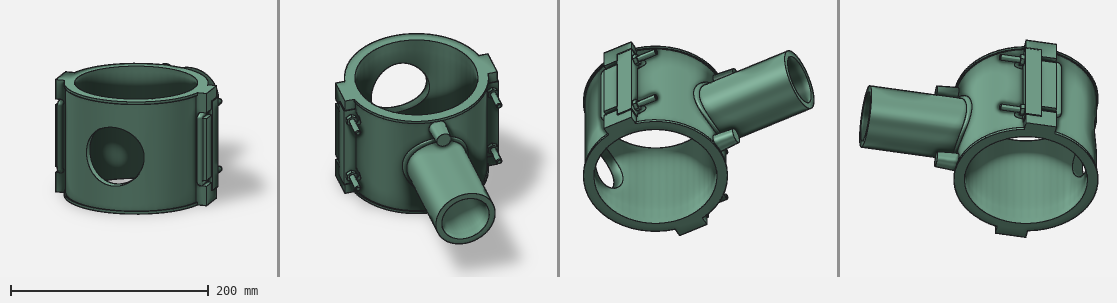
import cadquery as cq
import math


height = 118.0
half_height = height / 2
body_radius = 71.5
rim_radius = 73.0
rim_height = 2.9
ring_bore_radius = 62.2
front_opening_diameter = 61.8

overall_length = 238.5
pipe_end_y = overall_length - rim_radius
pipe_diameter = 63.0
pipe_bore_diameter = 50.3
collar_diameter = 69.5
collar_outer_radius = 74.5
collar_edge_fillet = 2.0

boss_z = 47.0
boss_end_y = 92.7
boss_end_diameter = 15.3
boss_root_diameter = 18.1
boss_root_y = body_radius

overall_width = 164.0
lug_half_width = 80.8
lug_depth = 15.7
plate_half_width = overall_width / 2
plate_back_y = 16.7
plate_height = 94.0

bolt_x = 74.9
bolt_z = 35.5
bolt_diameter = 6.0
bolt_radius = bolt_diameter / 2
bolt_tip_y = 41.7
bolt_tip_chamfer = 1.0
bar_clearance = 0.05
bend_radius = bolt_radius + bar_clearance
bolt_bar_y = -lug_depth - bend_radius
nut_across_flats = 10.0
nut_height = 4.0
relief_base_radius = 9.0
relief_end_radius = 7.5
relief_end_y = 28.5


def cylinder_along_y(diameter, y_start, y_end, x=0.0, z=0.0):
    """Solid cylinder parallel to Y, between two Y positions."""
    length = y_end - y_start
    return cq.Workplane(
        cq.Solid.makeCylinder(diameter / 2, length, cq.Vector(x, y_start, z), cq.Vector(0, 1, 0))
    )


def cone_along_y(start_radius, end_radius, y_start, y_end, x=0.0, z=0.0):
    """Solid truncated cone parallel to Y, between two Y positions."""
    start = cq.Vector(x, y_start, z)
    return cq.Workplane(
        cq.Solid.makeCone(start_radius, end_radius, y_end - y_start, start, cq.Vector(0, 1, 0))
    )


def cylinder_along_z(radius, length, z_center=0.0):
    """Solid cylinder about the Z axis."""
    return cq.Workplane("XY").workplane(offset=z_center - length / 2).circle(radius).extrude(length)


def box_between(x_range, y_range, z_half):
    """Box spanning two X and two Y positions, centred on Z = 0."""
    x_size = x_range[1] - x_range[0]
    y_size = y_range[1] - y_range[0]
    box = cq.Workplane("XY").box(x_size, y_size, 2 * z_half, centered=(False, False, True))
    return box.translate((x_range[0], y_range[0], 0))


def make_ring():
    """Ring body with a raised rim at each end, still without its bore."""
    ring = cylinder_along_z(body_radius, height)
    for side in (-1, 1):
        ring = ring.union(cylinder_along_z(rim_radius, rim_height, side * (half_height - rim_height / 2)))
    return ring


def make_collar():
    """Saddle-shaped collar around the pipe root, with a rounded outer edge."""
    collar = cylinder_along_y(collar_diameter, 0, pipe_end_y)
    collar = collar.intersect(cylinder_along_z(collar_outer_radius, height))
    return collar.edges(">Y").fillet(collar_edge_fillet)


def make_boss(z):
    """Conical boss that narrows away from the ring."""
    taper = (boss_root_diameter - boss_end_diameter) / 2 / (boss_end_y - boss_root_y)
    start_y = (ring_bore_radius + body_radius) / 2
    start_radius = boss_root_diameter / 2 + taper * (boss_root_y - start_y)
    return cone_along_y(start_radius, boss_end_diameter / 2, start_y, boss_end_y, z=z)


def make_nut(z):
    """Hexagonal nut on the plate, with its corners pointing along Z."""
    across_corners = nut_across_flats / math.cos(math.pi / 6)
    nut = cq.Workplane("XY").polygon(6, across_corners).extrude(nut_height)
    nut = nut.rotate((0, 0, 0), (0, 0, 1), 90)
    nut = nut.rotate((0, 0, 0), (1, 0, 0), -90)
    return nut.translate((bolt_x, plate_back_y, z))


def make_bolt_leg(side):
    """Upper or lower leg of the U-bolt, with the bend that leads to the bar."""
    leg_z = side * bolt_z
    leg = cylinder_along_y(bolt_diameter, -lug_depth, bolt_tip_y, bolt_x, leg_z)
    leg = leg.faces(">Y").chamfer(bolt_tip_chamfer)
    bend = (
        cq.Workplane("XZ", origin=(bolt_x, -lug_depth, leg_z))
        .circle(bolt_radius)
        .revolve(90, (0, -side * bend_radius, 0), (side, -side * bend_radius, 0))
    )
    return leg.union(bend)


def make_u_bolt():
    """U-bolt on the +X side with its two nuts."""
    bar_half_length = bolt_z - bend_radius
    u_bolt = cylinder_along_z(bolt_radius, 2 * bar_half_length).translate((bolt_x, bolt_bar_y, 0))
    for side in (-1, 1):
        u_bolt = u_bolt.union(make_bolt_leg(side))
        u_bolt = u_bolt.union(make_nut(side * bolt_z))
    return u_bolt


def make_nut_relief(z):
    """Tapered nut clearance cut into the ring behind the +X plate."""
    return cone_along_y(relief_base_radius, relief_end_radius, plate_back_y, relief_end_y, bolt_x, z)


def make_lug():
    """Lug on the +X side, with its plate and the open bolt slots in the front half."""
    lug = box_between((ring_bore_radius, lug_half_width), (-lug_depth, lug_depth), half_height)
    plate = box_between((ring_bore_radius, plate_half_width), (0, plate_back_y), plate_height / 2)
    lug = lug.union(plate)
    for side in (-1, 1):
        slot = cylinder_along_y(bolt_diameter, -lug_depth, 0, bolt_x, side * bolt_z)
        mouth = box_between((bolt_x, lug_half_width), (-lug_depth, 0), bolt_radius)
        lug = lug.cut(slot).cut(mouth.translate((0, 0, side * bolt_z)))
    return lug


def on_both_sides(shape):
    """The shape together with its mirror image across the YZ plane."""
    return [shape, shape.mirror("YZ")]


result = make_ring()
for side in (-1, 1):
    for relief in on_both_sides(make_nut_relief(side * bolt_z)):
        result = result.cut(relief)
for lug in on_both_sides(make_lug()):
    result = result.union(lug)
result = result.union(make_collar())
result = result.union(cylinder_along_y(pipe_diameter, 0, pipe_end_y))
for side in (-1, 1):
    result = result.union(make_boss(side * boss_z))

result = result.cut(cylinder_along_z(ring_bore_radius, height))
result = result.cut(cylinder_along_y(pipe_bore_diameter, 0, pipe_end_y))
result = result.cut(cylinder_along_y(front_opening_diameter, -rim_radius, 0))

for u_bolt in on_both_sides(make_u_bolt()):
    result = result.union(u_bolt)